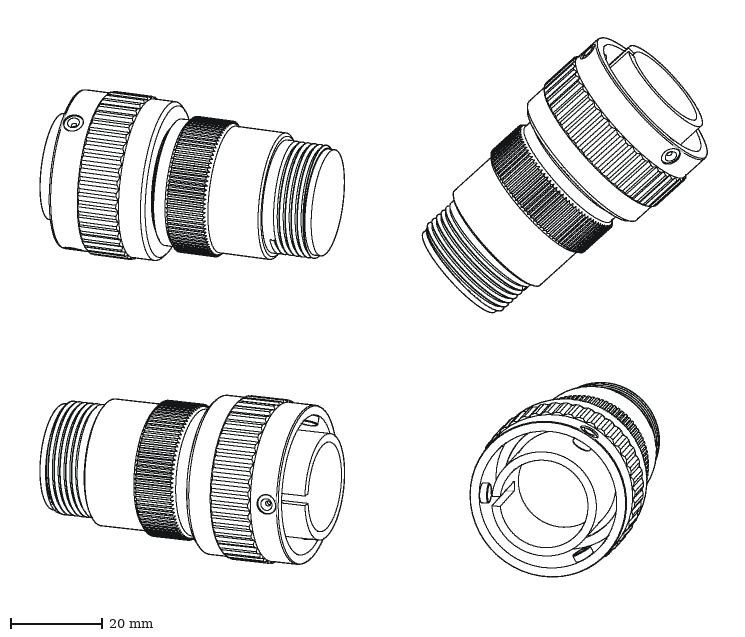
import cadquery as cq

overall_length = 62.65

plug_radius = 11.8
plug_bore_radius = 9.9
plug_bore_depth = 18.8
key_slot_width = 2.2
key_slot_depth = 15.05

nut_start = 4.0
nut_end = 25.95
nut_radius = 17.6
nut_front_chamfer_length = 0.4
nut_front_chamfer_height = 0.1
nut_rear_chamfer = 0.8
nut_bore_radius = 15.5
nut_bore_floor = 21.3
collar_radius = 13.3
collar_face = 20.05

nut_knurl_start = 10.5
nut_knurl_end = 20.05
nut_knurl_diameter = 36.15
nut_knurl_radius = nut_knurl_diameter / 2
nut_knurl_root_radius = 17.65
nut_knurl_count = 42
nut_knurl_groove_width = 2.0
nut_knurl_first_angle = 360 / nut_knurl_count / 4

pin_count = 3
pin_position = 6.75
pin_radius = 2.2
pin_tip = 13.7
pin_tip_chamfer = 0.2
pin_crown = 17.55
pin_shoulder = 17.1
pin_recess_radius = 1.3
pin_recess_depth = 0.95
pin_drill_radius = 0.55
pin_drill_depth = 2.0

body_start = 26.55
body_end = 51.55
body_radius = 14.05
body_front_chamfer_length = 0.45
body_rear_chamfer_length = 0.45
body_chamfer_height = 0.7

body_knurl_start = 29.65
body_knurl_end = 39.55
body_knurl_radius = 15.05
body_knurl_end_taper = 0.9
body_knurl_root_radius = 14.55
body_knurl_count = 90
body_knurl_groove_width = 0.595
body_knurl_first_angle = 360 / body_knurl_count / 2

thread_radius = 12.5
thread_root_radius = 11.85
thread_pitch = 1.4
thread_groove_width = 1.25
end_radius = plug_radius
end_step = 61.2
end_thread_start = 53.55
end_thread_start_angle = 26.0
neck_thread_start = 23.75
neck_thread_end = 27.55
neck_thread_start_angle = -90.0

clearance = 0.2


def cylinder(radius, start, end):
    """Cylinder about the X axis between two X positions."""
    return cq.Workplane("YZ").workplane(offset=start).circle(radius).extrude(end - start)


def revolved(profile):
    """Solid of revolution about the X axis; profile points are (x, radius)."""
    return cq.Workplane("XY").polyline(profile).close().revolve(360, (0, 0, 0), (1, 0, 0))


def knurl_band(profile, crest_radius, root_radius, count, groove_width, first_angle):
    """Ring with V grooves; first_angle turns from -Y towards -Z."""
    start = profile[0][0]
    length = profile[-1][0] - start
    outer_radius = crest_radius + clearance
    half_width = groove_width / 2 * (outer_radius - root_radius) / (crest_radius - root_radius)
    cutter = (
        cq.Workplane("YZ")
        .workplane(offset=start)
        .polyline([(-root_radius, 0), (-outer_radius, half_width), (-outer_radius, -half_width)])
        .close()
        .extrude(length)
        .val()
    )
    cutters = [
        cutter.rotate(cq.Vector(0, 0, 0), cq.Vector(1, 0, 0), first_angle + i * 360 / count)
        for i in range(count)
    ]
    return revolved(profile).cut(cq.Workplane(cq.Compound.makeCompound(cutters)))


def thread_groove(start, end, start_angle):
    """Right-hand V groove about the X axis; start_angle turns from -Y towards -Z."""
    outer_radius = thread_radius + clearance
    half_width = thread_groove_width / 2
    half_width *= (outer_radius - thread_root_radius) / (thread_radius - thread_root_radius)
    helix = cq.Wire.makeHelix(thread_pitch, end - start, thread_root_radius)
    groove = (
        cq.Workplane("XZ")
        .polyline([(thread_root_radius, 0), (outer_radius, half_width), (outer_radius, -half_width)])
        .close()
        .sweep(cq.Workplane(helix), isFrenet=True)
    )
    return (
        groove.rotate((0, 0, 0), (0, 1, 0), 90)
        .rotate((0, 0, 0), (1, 0, 0), start_angle - 90)
        .translate((start, 0, 0))
    )


def make_nut():
    nut = revolved([
        (nut_start, nut_bore_radius),
        (nut_start, nut_radius - nut_front_chamfer_height),
        (nut_start + nut_front_chamfer_length, nut_radius),
        (nut_end - nut_rear_chamfer, nut_radius),
        (nut_end, nut_radius - nut_rear_chamfer),
        (nut_end, 0),
        (nut_bore_floor, 0),
        (nut_bore_floor, nut_bore_radius),
    ])
    end_taper = nut_knurl_radius - nut_radius
    knurl = knurl_band(
        [
            (nut_knurl_start, nut_bore_radius),
            (nut_knurl_start, nut_radius),
            (nut_knurl_start + end_taper, nut_knurl_radius),
            (nut_knurl_end - end_taper, nut_knurl_radius),
            (nut_knurl_end, nut_radius),
            (nut_knurl_end, nut_bore_radius),
        ],
        nut_knurl_radius, nut_knurl_root_radius, nut_knurl_count,
        nut_knurl_groove_width, nut_knurl_first_angle,
    )
    nut = nut.union(knurl)
    hole, pin = make_pin()
    for i in range(pin_count):
        angle = i * 360 / pin_count
        nut = nut.cut(hole.rotate((0, 0, 0), (1, 0, 0), angle))
        nut = nut.union(pin.rotate((0, 0, 0), (1, 0, 0), angle))
    return nut


def make_pin():
    """Pin on the +Y side, with the hole that receives it in the nut."""
    hole = cq.Workplane("XZ", origin=(pin_position, 0, 0)).workplane(offset=-nut_radius - clearance)
    hole = hole.circle(pin_radius).extrude(nut_radius + clearance - pin_tip)
    pin = (
        cq.Workplane("XY", origin=(pin_position, 0, 0))
        .polyline([
            (0, pin_tip),
            (pin_radius - pin_tip_chamfer, pin_tip),
            (pin_radius, pin_tip + pin_tip_chamfer),
            (pin_radius, pin_shoulder),
            (pin_recess_radius, pin_crown),
            (pin_drill_radius, pin_crown - pin_recess_depth),
            (pin_drill_radius, pin_crown - pin_drill_depth),
            (0, pin_crown - pin_drill_depth),
        ])
        .close()
        .revolve(360, (0, 0, 0), (0, 1, 0))
    )
    return hole, pin


def make_plug():
    plug = cylinder(plug_radius, 0, nut_end)
    plug = plug.union(cylinder(collar_radius, collar_face, nut_bore_floor))
    plug = plug.cut(cylinder(plug_bore_radius, 0, plug_bore_depth))
    straight = key_slot_depth - key_slot_width / 2
    slot = cq.Workplane("XY").rect(2 * straight, key_slot_width).extrude(plug_radius + clearance)
    slot = slot.union(
        cq.Workplane("XY").center(straight, 0).circle(key_slot_width / 2).extrude(plug_radius + clearance)
    )
    return plug.cut(slot.rotate((0, 0, 0), (1, 0, 0), -90))


def make_neck():
    neck = cylinder(thread_radius, nut_bore_floor, body_knurl_start)
    return neck.cut(thread_groove(neck_thread_start, neck_thread_end, neck_thread_start_angle))


def make_body():
    body = revolved([
        (body_start, 0),
        (body_start, body_radius - body_chamfer_height),
        (body_start + body_front_chamfer_length, body_radius),
        (body_end - body_rear_chamfer_length, body_radius),
        (body_end, body_radius - body_chamfer_height),
        (body_end, 0),
    ])
    knurl = knurl_band(
        [
            (body_knurl_start, thread_radius),
            (body_knurl_start, body_radius),
            (body_knurl_start + body_knurl_end_taper, body_knurl_radius),
            (body_knurl_end - body_knurl_end_taper, body_knurl_radius),
            (body_knurl_end, body_radius),
            (body_knurl_end, thread_radius),
        ],
        body_knurl_radius, body_knurl_root_radius, body_knurl_count,
        body_knurl_groove_width, body_knurl_first_angle,
    )
    return body.union(knurl)


def make_threaded_end():
    end = cylinder(thread_radius, body_end, end_step)
    end = end.cut(thread_groove(end_thread_start, end_step + thread_groove_width, end_thread_start_angle))
    return end.union(cylinder(end_radius, body_end, overall_length))


result = make_plug().union(make_neck()).union(make_nut()).union(make_body()).union(make_threaded_end())